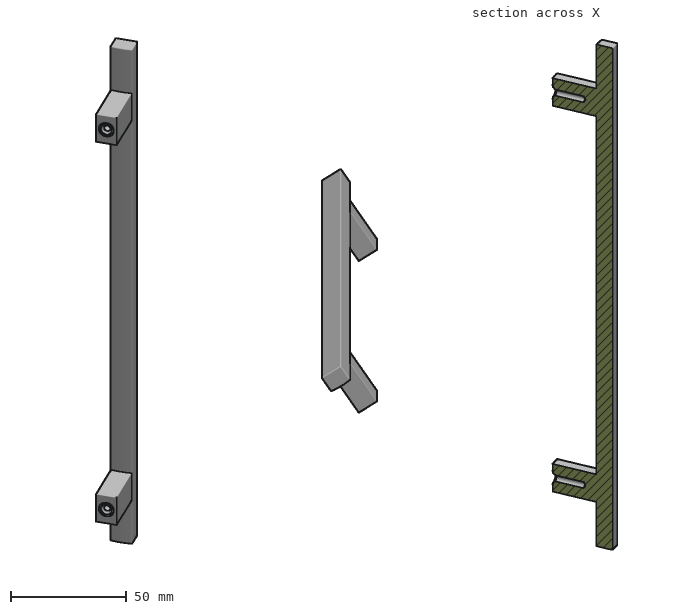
import cadquery as cq
import math

bar_length = 250.0
bar_width = 10.0
bar_depth = 8.0
crown_height = 0.38
bar_edge_radius = 0.5

handle_depth = 29.0
post_width = 9.5
post_height = 14.0
post_spacing = 192.0
post_edge_radius = 0.2

recess_diameter = 6.8
recess_depth = 0.2
countersink_diameter = 5.0
countersink_angle = 90.0
drill_diameter = 2.8
drill_depth = 15.0
drill_tip_angle = 118.0

bar_half_width = bar_width / 2
post_length = handle_depth - bar_depth
post_overlap = bar_depth / 2


def cone_height(large_radius, small_radius, full_angle):
    """Height of a cone that narrows from one radius to the other."""
    return (large_radius - small_radius) / math.tan(math.radians(full_angle / 2))


def make_bar():
    """Bar with a crowned -Y face and all its edges rounded."""
    return (
        cq.Workplane("XY")
        .workplane(offset=-bar_length / 2)
        .moveTo(-bar_half_width, crown_height)
        .threePointArc((0, 0), (bar_half_width, crown_height))
        .lineTo(bar_half_width, bar_depth)
        .lineTo(-bar_half_width, bar_depth)
        .close()
        .extrude(bar_length)
        .edges()
        .fillet(bar_edge_radius)
    )


def make_screw_hole():
    """Solid of the stepped hole, running along +Y from the free end of a post."""
    recess_radius = recess_diameter / 2
    countersink_radius = countersink_diameter / 2
    drill_radius = drill_diameter / 2

    mouth = -post_length
    recess_floor = mouth + recess_depth
    countersink_end = recess_floor + cone_height(countersink_radius, drill_radius, countersink_angle)
    drill_end = mouth + drill_depth
    drill_tip = drill_end + cone_height(drill_radius, 0, drill_tip_angle)

    return (
        cq.Workplane("XY")
        .moveTo(0, mouth)
        .lineTo(recess_radius, mouth)
        .lineTo(recess_radius, recess_floor)
        .lineTo(countersink_radius, recess_floor)
        .lineTo(drill_radius, countersink_end)
        .lineTo(drill_radius, drill_end)
        .lineTo(0, drill_tip)
        .close()
        .revolve(360, (0, 0, 0), (0, 1, 0))
    )


def make_post():
    """Post centred on Z = 0, its top and bottom rims rounded, with its screw hole."""
    block = (
        cq.Workplane("XY")
        .box(post_width, post_length + post_overlap, post_height, centered=(True, False, True))
        .translate((0, -post_length, 0))
    )
    rounded = block.edges("(>Z or <Z) and (<Y or <X or >X)").fillet(post_edge_radius)
    return rounded.cut(make_screw_hole())


result = make_bar()
for post_z in (-post_spacing / 2, post_spacing / 2):
    result = result.union(make_post().translate((0, 0, post_z)))